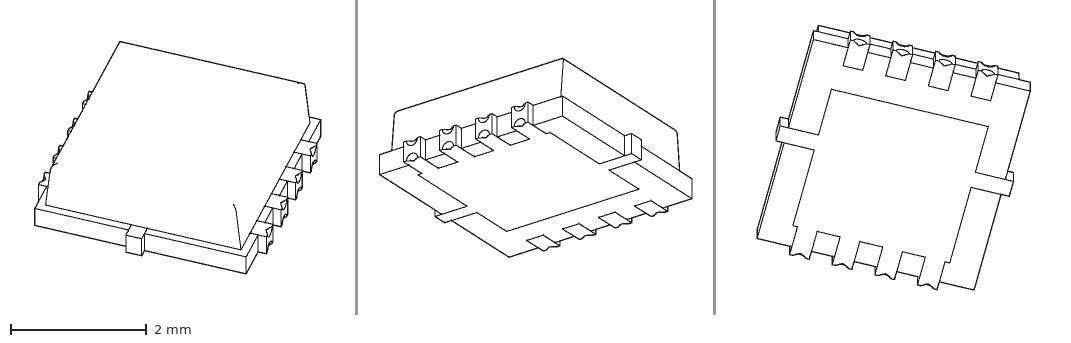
import cadquery as cq
import math

overall_length = 3.56
overall_width = 3.55
overall_height = 1.12

plate_side = 3.3
plate_height = 0.33
lid_side = 3.05
lid_height = overall_height - plate_height
lid_draft = 6.0
lid_fillet = 0.1

lead_count = 4
lead_pitch = 0.648
lead_width = 0.3
source_lead_length = 0.427

dimple_radius = 0.1
dimple_tip_angle = 118.0
dimple_depth = dimple_radius / math.tan(math.radians(dimple_tip_angle / 2))

paddle_width = 2.385
paddle_start = -0.945
paddle_end = 1.317
tie_bar_width = 0.25
tie_bar_offset = -0.06

lead_tip = overall_length / 2
lead_positions = [(i - (lead_count - 1) / 2) * lead_pitch for i in range(lead_count)]


def plate_level_block(x_start, x_end, y_centre, width):
    """Block of the full plate height, resting on Z = 0."""
    length = x_end - x_start
    block = cq.Workplane("XY").box(length, width, plate_height, centered=(False, True, False))
    return block.translate((x_start, y_centre, 0))


def dimple(side, y_centre, z_edge, turn):
    """Half cone that enters a lead tip from one of its edges.

    side is -1 for the -X leads and +1 for the +X leads;
    turn is +1 for the half above z_edge and -1 for the half below it.
    """
    tip = side * lead_tip
    apex = side * (lead_tip - dimple_depth)
    profile = [(tip, 0), (tip, dimple_radius), (apex, 0)]
    plane = cq.Workplane("XY", origin=(0, y_centre, z_edge))
    return plane.polyline(profile).close().revolve(180, (0, 0), (turn, 0))


def cut_dimples(body, side, y_centre):
    """Cut the bottom and top dimples of one lead tip."""
    body = body.cut(dimple(side, y_centre, 0, 1))
    return body.cut(dimple(side, y_centre, plate_height, -1))


def make_source_lead(y_centre):
    """Separate lead on the -X side."""
    lead = plate_level_block(-lead_tip, -lead_tip + source_lead_length, y_centre, lead_width)
    return cut_dimples(lead, -1, y_centre)


def make_drain_paddle():
    """Paddle with the four +X leads and the two tie bars in one piece."""
    paddle = plate_level_block(paddle_start, paddle_end, 0, paddle_width)
    tie_start = tie_bar_offset - tie_bar_width / 2
    tie_end = tie_bar_offset + tie_bar_width / 2
    paddle = paddle.union(plate_level_block(tie_start, tie_end, 0, overall_width))
    for y_centre in lead_positions:
        paddle = paddle.union(plate_level_block(paddle_end, lead_tip, y_centre, lead_width))
        paddle = cut_dimples(paddle, 1, y_centre)
    return paddle


def make_lid():
    """Lid with sloping -X and +X sides, straight Y sides and a rounded top rim."""
    foot = lid_side / 2
    top = foot - lid_height * math.tan(math.radians(lid_draft))
    lid_top = plate_height + lid_height
    outline = [(-foot, plate_height), (foot, plate_height), (top, lid_top), (-top, lid_top)]
    lid = cq.Workplane("XZ").polyline(outline).close().extrude(lid_side / 2, both=True)
    return lid.faces(">Z").edges().fillet(lid_fillet)


def make_housing(embedded_bodies):
    """Base plate and lid in one piece, with recesses for the embedded metal parts."""
    housing = plate_level_block(-plate_side / 2, plate_side / 2, 0, plate_side)
    housing = housing.union(make_lid())
    for body in embedded_bodies:
        housing = housing.cut(body)
    return housing


source_leads = [make_source_lead(y_centre) for y_centre in lead_positions]
drain_paddle = make_drain_paddle()
housing = make_housing([drain_paddle, *source_leads])

result = cq.Compound.makeCompound(
    [
        *housing.solids().vals(),
        *drain_paddle.solids().vals(),
        *[lead.solids().val() for lead in source_leads],
    ]
)